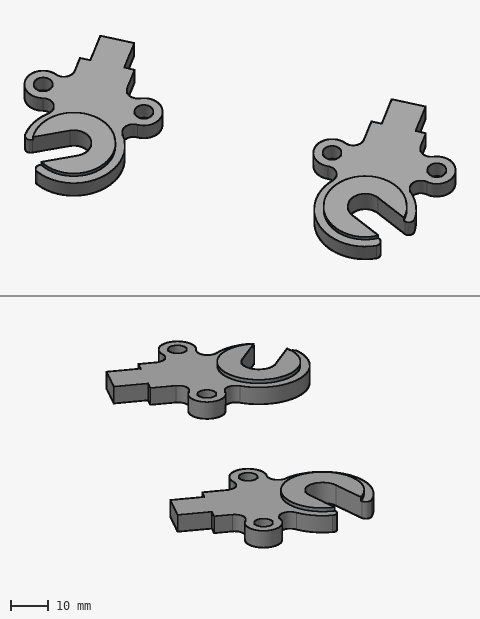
import cadquery as cq
import math

overall_width = 118.1
overall_length = 53.5
plate_thickness = 5.0
boss_height = 1.1

hook_radius = 13.5
boss_radius = 11.0
slot_radius = 4.6
slot_angle = -30.0
tip_radius = 1.5

tang_width = 9.3
tang_length = 9.2
shoulder_width = 15.0

lug_radius = 5.0
lug_hole_diameter = 5.0
outer_lug = (14.0, 18.9)
inner_lug = (-14.2, 17.0)
blend_radius = 3.0

tang_end_y = overall_length - hook_radius
shoulder_y = tang_end_y - tang_length
hook_x = overall_width / 2 - outer_lug[0] - lug_radius


def toward(start, target, distance):
    """Point at a distance from start, along the line to target."""
    angle = math.atan2(target[1] - start[1], target[0] - start[0])
    return (start[0] + distance * math.cos(angle), start[1] + distance * math.sin(angle))


def along_slot(distance, offset):
    """Point at a distance along the slot axis and an offset to its left."""
    angle = math.radians(slot_angle)
    return (
        distance * math.cos(angle) - offset * math.sin(angle),
        distance * math.sin(angle) + offset * math.cos(angle),
    )


def arc_middle(centre, start, end, clockwise):
    """Middle point of the arc from start to end about centre."""
    first = math.atan2(start[1] - centre[1], start[0] - centre[0])
    last = math.atan2(end[1] - centre[1], end[0] - centre[0])
    sweep = (last - first) % math.tau
    if clockwise:
        sweep -= math.tau
    middle = first + sweep / 2
    radius = math.dist(centre, start)
    return (centre[0] + radius * math.cos(middle), centre[1] + radius * math.sin(middle))


def add_arcs(outline, start, arcs):
    """Extend the outline by successive arcs, each given as (centre, end, clockwise)."""
    for centre, end, clockwise in arcs:
        outline = outline.threePointArc(arc_middle(centre, start, end, clockwise), end)
        start = end
    return outline


def shoulder_blend_centre(lug):
    """Centre of the blend between the shoulder side and the top of a lug."""
    x = math.copysign(shoulder_width / 2 + blend_radius, lug[0])
    rise = math.sqrt((lug_radius + blend_radius) ** 2 - (x - lug[0]) ** 2)
    return (x, lug[1] + rise)


def hook_blend_centre(lug):
    """Centre of the blend between the underside of a lug and the hook."""
    from_hook = hook_radius + blend_radius
    from_lug = lug_radius + blend_radius
    spacing = math.hypot(*lug)
    along = (from_hook**2 - from_lug**2 + spacing**2) / (2 * spacing)
    across = math.copysign(math.sqrt(from_hook**2 - along**2), lug[0])
    return (
        (along * lug[0] + across * lug[1]) / spacing,
        (along * lug[1] - across * lug[0]) / spacing,
    )


def plate_outline():
    """Closed outline, clockwise from the top of the tang."""
    hook = (0.0, 0.0)
    outer_top = shoulder_blend_centre(outer_lug)
    outer_bottom = hook_blend_centre(outer_lug)
    inner_top = shoulder_blend_centre(inner_lug)
    inner_bottom = hook_blend_centre(inner_lug)

    tip_offset = slot_radius + tip_radius
    tip_distance = math.sqrt((hook_radius - tip_radius) ** 2 - tip_offset**2)
    upper_tip = along_slot(tip_distance, tip_offset)
    lower_tip = along_slot(tip_distance, -tip_offset)
    lower_wall_end = along_slot(tip_distance, -slot_radius)

    outer_side = (shoulder_width / 2, outer_top[1])
    inner_side = (-shoulder_width / 2, inner_top[1])

    outline = (
        cq.Workplane("XY")
        .moveTo(-tang_width / 2, tang_end_y)
        .lineTo(tang_width / 2, tang_end_y)
        .lineTo(tang_width / 2, shoulder_y)
        .lineTo(shoulder_width / 2, shoulder_y)
        .lineTo(*outer_side)
    )
    outline = add_arcs(outline, outer_side, [
        (outer_top, toward(outer_top, outer_lug, blend_radius), False),
        (outer_lug, toward(outer_lug, outer_bottom, lug_radius), True),
        (outer_bottom, toward(outer_bottom, hook, blend_radius), False),
        (hook, toward(hook, upper_tip, hook_radius), True),
        (upper_tip, along_slot(tip_distance, slot_radius), True),
    ])
    outline = (
        outline.lineTo(*along_slot(0, slot_radius))
        .threePointArc(along_slot(-slot_radius, 0), along_slot(0, -slot_radius))
        .lineTo(*lower_wall_end)
    )
    outline = add_arcs(outline, lower_wall_end, [
        (lower_tip, toward(hook, lower_tip, hook_radius), True),
        (hook, toward(hook, inner_bottom, hook_radius), True),
        (inner_bottom, toward(inner_bottom, inner_lug, blend_radius), False),
        (inner_lug, toward(inner_lug, inner_top, lug_radius), True),
        (inner_top, inner_side, False),
    ])
    return (
        outline.lineTo(-shoulder_width / 2, shoulder_y)
        .lineTo(-tang_width / 2, shoulder_y)
        .close()
    )


def slotted_boss():
    """Raised round pad on the hook, open along the slot."""
    boss = cq.Workplane("XY").workplane(offset=plate_thickness).circle(boss_radius).extrude(boss_height)
    slot = (
        cq.Workplane("XY")
        .workplane(offset=plate_thickness)
        .moveTo(*along_slot(0, slot_radius))
        .threePointArc(along_slot(-slot_radius, 0), along_slot(0, -slot_radius))
        .lineTo(*along_slot(hook_radius, -slot_radius))
        .lineTo(*along_slot(hook_radius, slot_radius))
        .close()
        .extrude(boss_height)
    )
    return boss.cut(slot)


def hook_plate():
    """One hook plate, opening toward +X, with its hook centre at the origin."""
    plate = plate_outline().extrude(plate_thickness)
    lug_holes = (
        cq.Workplane("XY")
        .pushPoints([outer_lug, inner_lug])
        .circle(lug_hole_diameter / 2)
        .extrude(plate_thickness)
    )
    return plate.cut(lug_holes).union(slotted_boss())


right_hook_plate = hook_plate().translate((hook_x, 0, 0))
left_hook_plate = right_hook_plate.mirror("YZ")

result = cq.Compound.makeCompound([left_hook_plate.solids().val(), right_hook_plate.solids().val()])